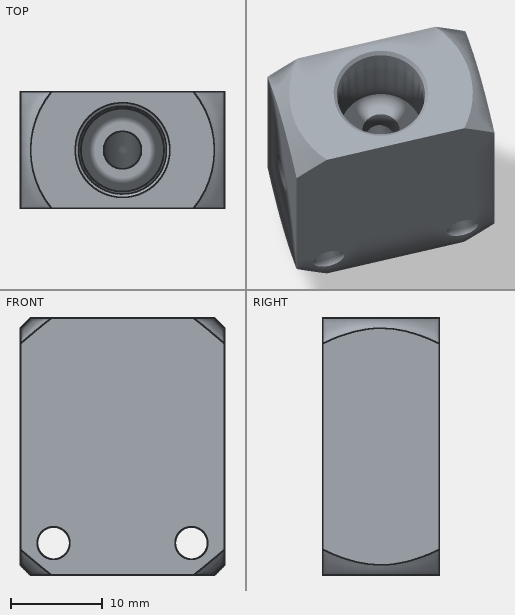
import cadquery as cq
import math

WIDTH = 22.23
DEPTH = 12.7
HEIGHT = 28.0

TRIM = 1.12

MOUNT_DIAMETER = 3.5
MOUNT_SPACING = 15.0
MOUNT_ABOVE_BASE = 3.5

PORT_MOUTH_DIAMETER = 10.3
PORT_TOP_DIAMETER = 9.58
PORT_FLOOR_DIAMETER = 9.02
PORT_TAPER = 1 / 16

PASSAGE_DIAMETER = 4.1
SIDE_DEPTH = 7.0
DRILL_POINT_ANGLE = 118.0
BACK_OVERRUN = 0.55

TOP = HEIGHT / 2
PASSAGE_RADIUS = PASSAGE_DIAMETER / 2


def revolve_about_z(points):
    """Turn a closed (radius, z) profile about the vertical axis."""
    return cq.Workplane("XZ").polyline(points).close().revolve(360, (0, 0), (0, 1))


def trimmed_block():
    """Box whose corners are cut by a 45 degree cone at the top and at the base."""
    face_radius = WIDTH / 2 - TRIM
    waist_radius = face_radius + TOP
    envelope = revolve_about_z(
        [(0, -TOP), (face_radius, -TOP), (waist_radius, 0), (face_radius, TOP), (0, TOP)]
    )
    return cq.Workplane("XY").box(WIDTH, DEPTH, HEIGHT).intersect(envelope)


def mounting_holes():
    """Pair of through holes near the base."""
    return (
        cq.Workplane("XZ", origin=(0, 0, MOUNT_ABOVE_BASE - TOP))
        .pushPoints([(-MOUNT_SPACING / 2, 0), (MOUNT_SPACING / 2, 0)])
        .circle(MOUNT_DIAMETER / 2)
        .extrude(DEPTH / 2, both=True)
    )


def port():
    """Tapered bore with a 45 degree lead-in."""
    mouth_radius = PORT_MOUTH_DIAMETER / 2
    top_radius = PORT_TOP_DIAMETER / 2
    floor_radius = PORT_FLOOR_DIAMETER / 2
    taper_top = TOP - (mouth_radius - top_radius)
    floor = taper_top - (PORT_TOP_DIAMETER - PORT_FLOOR_DIAMETER) / PORT_TAPER
    return revolve_about_z(
        [(0, TOP), (mouth_radius, TOP), (top_radius, taper_top), (floor_radius, floor), (0, floor)]
    )


def vertical_passage():
    """Passage from the port down to the centre of the block."""
    return cq.Workplane("XY").circle(PASSAGE_RADIUS).extrude(TOP)


def back_passage():
    """Passage from the back face to just beyond the vertical passage."""
    length = DEPTH / 2 + PASSAGE_RADIUS + BACK_OVERRUN
    return cq.Workplane("XZ", origin=(0, DEPTH / 2, 0)).circle(PASSAGE_RADIUS).extrude(length)


def side_hole():
    """Blind hole in the -X face, ending in a drill point."""
    entry = cq.Workplane("YZ", origin=(-WIDTH / 2, 0, 0))
    drill = entry.circle(PASSAGE_RADIUS).extrude(SIDE_DEPTH)
    point_length = PASSAGE_RADIUS / math.tan(math.radians(DRILL_POINT_ANGLE / 2))
    start = cq.Vector(SIDE_DEPTH - WIDTH / 2, 0, 0)
    point = cq.Solid.makeCone(PASSAGE_RADIUS, 0, point_length, start, cq.Vector(1, 0, 0))
    return drill.union(cq.Workplane(point))


result = trimmed_block()
for cutter in (mounting_holes(), port(), vertical_passage(), back_passage(), side_hole()):
    result = result.cut(cutter)